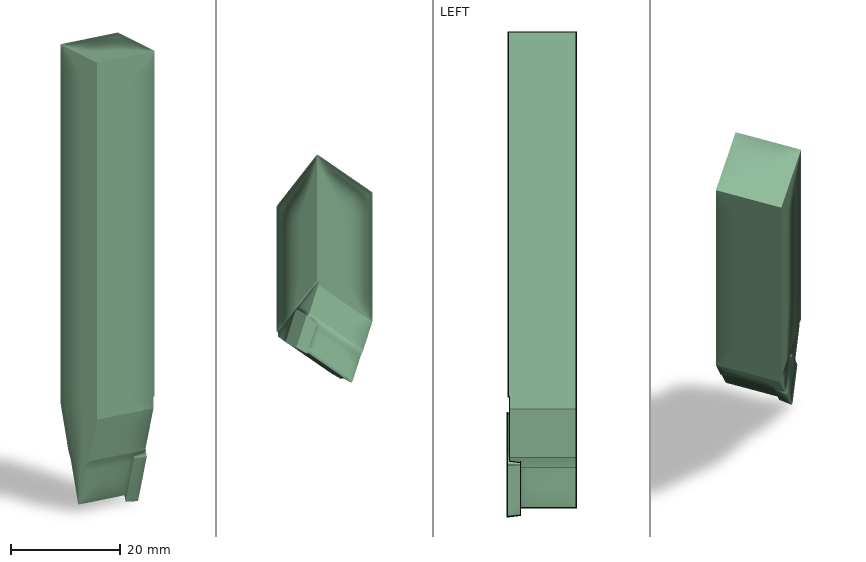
import cadquery as cq
import math

TOTAL_LENGTH = 88.9
SHANK_WIDTH = 12.5
TOTAL_DEPTH = 12.7

SHOULDER_Z = 19.8
GROOVE_TOP_Z = 10.9
GROOVE_BOTTOM_Z = 9.1
TIP_Z = 1.7
TIP_HALF_WIDTH = 0.2

RELIEF_TOP_Z = 22.05
RELIEF_DEPTH = 0.3

POINT_ANGLE = 35.0
INSCRIBED_DIAMETER = 6.3
INSERT_THICKNESS = 2.5
NOSE_RADIUS = 0.4
CLEARANCE_ANGLE = 7.0

HALF_WIDTH = SHANK_WIDTH / 2
HALF_POINT_ANGLE = math.radians(POINT_ANGLE / 2)
INSERT_FACE_Y = TOTAL_DEPTH - HALF_WIDTH


def make_insert():
    """Rhombic plate whose larger face points to +Y."""
    inscribed_radius = INSCRIBED_DIAMETER / 2
    half_length = inscribed_radius / math.sin(HALF_POINT_ANGLE)
    half_breadth = inscribed_radius / math.cos(HALF_POINT_ANGLE)
    nose_setback = NOSE_RADIUS / math.sin(HALF_POINT_ANGLE) - NOSE_RADIUS
    centre_z = half_length - nose_setback

    outline = (
        cq.Sketch()
        .polygon([
            (0, half_length),
            (half_breadth, 0),
            (0, -half_length),
            (-half_breadth, 0),
            (0, half_length),
        ])
        .vertices()
        .fillet(NOSE_RADIUS)
    )
    return (
        cq.Workplane("XZ", origin=(0, INSERT_FACE_Y, centre_z))
        .placeSketch(outline)
        .extrude(INSERT_THICKNESS, taper=CLEARANCE_ANGLE)
    )


def make_shank_blank():
    """Square bar with a point whose flanks run parallel to the insert edges."""
    groove_top_half_width = (
        HALF_WIDTH - (SHOULDER_Z - GROOVE_TOP_Z) * math.tan(HALF_POINT_ANGLE)
    )
    groove_bottom_half_width = (
        TIP_HALF_WIDTH + (GROOVE_BOTTOM_Z - TIP_Z) * math.tan(HALF_POINT_ANGLE)
    )
    return (
        cq.Workplane("XZ", origin=(0, HALF_WIDTH, 0))
        .moveTo(0, TIP_Z)
        .lineTo(TIP_HALF_WIDTH, TIP_Z)
        .lineTo(groove_bottom_half_width, GROOVE_BOTTOM_Z)
        .tangentArcPoint((groove_top_half_width, GROOVE_TOP_Z), relative=False)
        .lineTo(HALF_WIDTH, SHOULDER_Z)
        .lineTo(HALF_WIDTH, TOTAL_LENGTH)
        .lineTo(0, TOTAL_LENGTH)
        .mirrorY()
        .extrude(SHANK_WIDTH)
    )


def make_relief():
    """Material removed from the +Y face around the insert."""
    return cq.Workplane("XY").box(
        SHANK_WIDTH, RELIEF_DEPTH, RELIEF_TOP_Z, centered=(True, False, False)
    ).translate((0, HALF_WIDTH - RELIEF_DEPTH, 0))


insert = make_insert()
shank = make_shank_blank().cut(make_relief()).cut(insert)

result = cq.Compound.makeCompound([shank.val(), insert.val()])